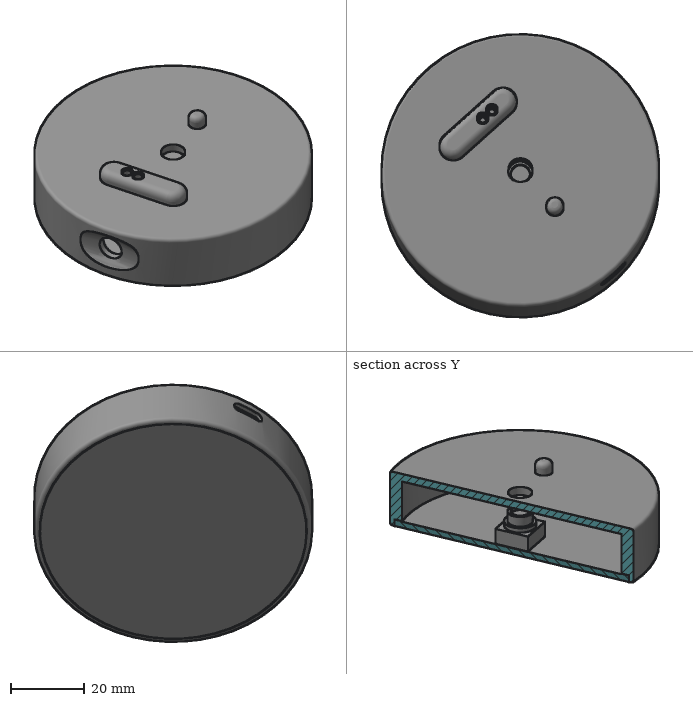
import cadquery as cq

puck_diameter = 76.0
puck_height = 16.7
total_height = 20.2
rim_fillet = 1.0

top_thickness = 2.5
side_wall = 3.8
cavity_diameter = puck_diameter - 2 * side_wall
cavity_ceiling = puck_height - top_thickness
cover_diameter = 72.8
cover_recess_diameter = 73.0
cover_thickness = 2.0

center_hole_diameter = 6.6

raised_height = total_height - puck_height
key_length = 26.0
key_width = 7.6
key_fillet = 2.2
key_y = -17.15
pin_diameter = 4.8
pin_fillet = 1.5
pin_y = 14.0

contact_pitch = 3.4
contact_x_positions = [-1.5 * contact_pitch, -0.5 * contact_pitch]
contact_diameter = 3.18
contact_setback = 0.3
contact_bottom_z = cavity_ceiling
contact_bore_steps = [(2.8, 0.1), (2.54, 0.2), (2.34, 3.0), (1.8, 3.5)]

port_z = 9.05
port_diameter = 6.8
port_mouth_width = 18.0
port_mouth_height = 11.1
port_throat_y = -36.3
port_overrun = 0.5

rear_slot_width = 9.0
rear_slot_height = 3.18
rear_slot_z = 11.7
rear_slot_depth = 1.5

pedestal_side = 10.0
pedestal_top_z = 6.6
flange_diameter = 8.8
flange_top_z = 7.95
button_diameter = 6.95
button_top_z = 10.93
button_recess_diameter = 5.22
button_recess_depth = 1.0

puck_radius = puck_diameter / 2


def cylinder(diameter, bottom_z, top_z, x=0.0, y=0.0):
    base = cq.Workplane("XY", origin=(x, y, bottom_z))
    return base.circle(diameter / 2).extrude(top_z - bottom_z)


def make_key():
    key = (
        cq.Workplane("XY", origin=(0, key_y, cavity_ceiling))
        .slot2D(key_length, key_width)
        .extrude(total_height - cavity_ceiling)
    )
    return key.faces(">Z").edges().fillet(key_fillet)


def make_pin():
    pin = cylinder(pin_diameter, cavity_ceiling, total_height, y=pin_y)
    return pin.faces(">Z").edges().fillet(pin_fillet)


def make_port_cutter():
    throat_radius = port_diameter / 2
    half_width = port_mouth_width / 2
    half_height = port_mouth_height / 2
    side_y = -((puck_radius**2 - half_width**2) ** 0.5)
    width_slope = (half_width - throat_radius) / (port_throat_y - side_y)
    height_slope = (half_height - throat_radius) / (port_throat_y + puck_radius)
    flare_length = puck_radius + port_throat_y + port_overrun
    flare = (
        cq.Workplane("XZ", origin=(0, port_throat_y, port_z))
        .circle(throat_radius)
        .workplane(offset=flare_length)
        .ellipse(
            throat_radius + width_slope * flare_length,
            throat_radius + height_slope * flare_length,
        )
        .loft(ruled=True)
    )
    hole = (
        cq.Workplane("XZ", origin=(0, port_throat_y, port_z))
        .circle(throat_radius)
        .extrude(-2 * side_wall)
    )
    return flare.union(hole)


def make_rear_slot_cutter():
    return (
        cq.Workplane("XZ", origin=(0, puck_radius - rear_slot_depth, rear_slot_z))
        .slot2D(rear_slot_width, rear_slot_height)
        .extrude(-2 * rear_slot_depth)
    )


def make_housing():
    body = cylinder(puck_diameter, 0, puck_height)
    body = body.faces(">Z or <Z").edges().fillet(rim_fillet)
    body = body.cut(cylinder(cover_recess_diameter, 0, cover_thickness))
    body = body.cut(cylinder(cavity_diameter, 0, cavity_ceiling))
    body = body.cut(cylinder(center_hole_diameter, cavity_ceiling, puck_height))
    body = body.union(make_key()).union(make_pin())
    for x in contact_x_positions:
        body = body.cut(cylinder(contact_diameter, contact_bottom_z, total_height, x, key_y))
    return body.cut(make_port_cutter()).cut(make_rear_slot_cutter())


def make_cover():
    cover = cylinder(cover_diameter, 0, cover_thickness)
    pedestal = (
        cq.Workplane("XY")
        .rect(pedestal_side, pedestal_side)
        .extrude(pedestal_top_z)
    )
    return cover.union(pedestal)


def make_button():
    flange = cylinder(flange_diameter, pedestal_top_z, flange_top_z)
    barrel = cylinder(button_diameter, flange_top_z, button_top_z)
    recess = cylinder(button_recess_diameter, button_top_z - button_recess_depth, button_top_z)
    return flange.union(barrel).cut(recess)


def make_contact(x):
    top_z = total_height - contact_setback
    contact = cylinder(contact_diameter, contact_bottom_z, top_z, x, key_y)
    for bore_diameter, bore_depth in contact_bore_steps:
        contact = contact.cut(cylinder(bore_diameter, top_z - bore_depth, top_z, x, key_y))
    return contact


housing = make_housing()
cover = make_cover()
button = make_button()
contacts = [make_contact(x) for x in contact_x_positions]

result = cq.Compound.makeCompound(
    [housing.val(), cover.val(), button.val()] + [contact.val() for contact in contacts]
)